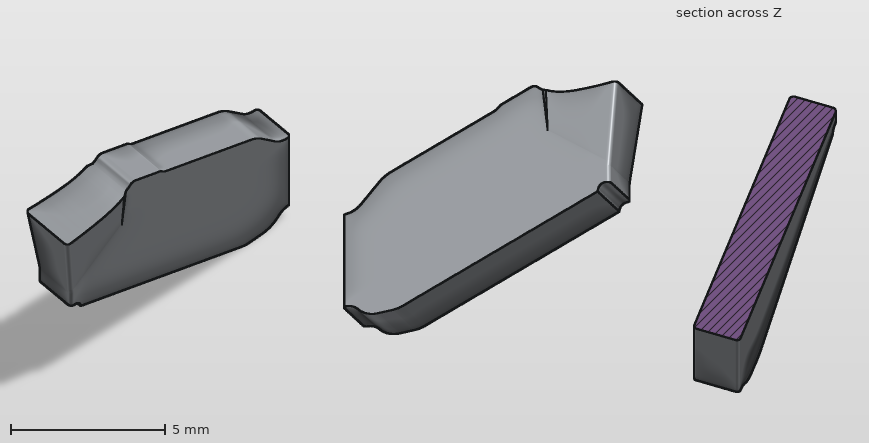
import cadquery as cq
import math


length = 10.0
height = 7.0
plate_width = 1.6
tip_width = 2.01
seat_angle = 20.0

edge_height = 6.4
clearance_angle = 7.0
front_setback = 0.355
front_corner_radius = 0.15

notch_top = 2.905
notch_start = 0.527
notch_radius = 0.25
notch_turn = 75.0
seat_front_y = 0.785
seat_front_z = 2.63

heel_radius = 1.0
tail_lip = 0.09
tail_bottom = 0.518
tail_bottom_hollow_radius = 0.6
tail_bottom_round_radius = 1.0
tail_top = 3.886
tail_top_hollow_radius = 0.8
tail_slope = 45.0
tail_slope_run = 0.662
tail_corner_radius = 0.12

shoulder_radius = 1.0
shoulder_slope = 31.6
shoulder_flat_run = 0.06

step_y = 4.548
step_slope = 49.0
step_hollow_radius = 0.5
step_round_radius = 0.2

crest_radius = 0.2
tip_slope = -2.0
rake_stations = [
    (1.476, 4.0),
    (1.90, 10.0),
    (2.02, 12.0),
    (2.08, 13.5),
    (2.29, 18.0),
    (2.59, 27.0),
    (2.77, 30.0),
    (2.95, 45.0),
]

flank_front = (0.527, 3.73)
flank_knee = (2.59, 5.28)
flank_top = (2.77, 6.79)
main_flank_spread = 0.0869
rear_flank_spread = 0.64
wedge_reach = 5.0


def tan_deg(angle):
    return math.tan(math.radians(angle))


def sin_deg(angle):
    return math.sin(math.radians(angle))


def cos_deg(angle):
    return math.cos(math.radians(angle))


class Outline:
    """Side outline in (y, z), extended by lines and by arcs given through their slopes in degrees.

    A run is a signed distance along Y; slopes are always those of z over y.
    """

    def __init__(self, y, z):
        self.y = y
        self.z = z
        self.wire = cq.Workplane("YZ").moveTo(y, z)

    def line_to(self, y, z):
        self.y = y
        self.z = z
        self.wire = self.wire.lineTo(y, z)

    def line(self, run, slope):
        self.line_to(self.y + run, self.z + run * tan_deg(slope))

    def arc(self, run, start_slope, end_slope):
        """Circular arc that covers the run while it turns from one slope to the other."""
        mean_slope = (start_slope + end_slope) / 2
        run_share = (sin_deg(mean_slope) - sin_deg(start_slope)) / (sin_deg(end_slope) - sin_deg(start_slope))
        middle_run = run * run_share
        middle_rise = middle_run * tan_deg((start_slope + mean_slope) / 2)
        middle = (self.y + middle_run, self.z + middle_rise)
        self.y += run
        self.z += run * tan_deg(mean_slope)
        self.wire = self.wire.threePointArc(middle, (self.y, self.z))

    def turn(self, radius, start_slope, end_slope, heading):
        """Circular arc of the given radius; heading is 1 towards +Y and -1 towards -Y."""
        run = radius * abs(sin_deg(end_slope) - sin_deg(start_slope))
        self.arc(heading * run, start_slope, end_slope)


def add_front_and_bottom(outline):
    """Front relief, notch, lower seat and rounded heel, from the cutting edge to the tail face."""
    outline.line_to(front_setback, edge_height - front_setback / tan_deg(clearance_angle))
    outline.line_to(front_setback, notch_top)
    outline.line_to(notch_start, notch_top)
    outline.turn(notch_radius, 0, -notch_turn, 1)
    outline.line_to(seat_front_y, seat_front_z)

    heel_drop = heel_radius * (1 - cos_deg(seat_angle))
    outline.line((seat_front_z - heel_drop) / tan_deg(seat_angle), -seat_angle)
    outline.turn(heel_radius, -seat_angle, 0, 1)

    curve_radii = tail_bottom_round_radius + tail_bottom_hollow_radius
    curve_slope = math.degrees(math.acos(1 - tail_bottom / curve_radii))
    outline.line_to(length - tail_lip - curve_radii * sin_deg(curve_slope), 0)
    outline.turn(tail_bottom_round_radius, 0, curve_slope, 1)
    outline.turn(tail_bottom_hollow_radius, curve_slope, 0, 1)
    outline.line_to(length, tail_bottom)


def add_tail_and_top_seat(outline):
    """Tail face, tail slope, shoulder and stepped upper seat, up to the top of the crest."""
    outline.line_to(length, tail_top)
    outline.line_to(length - tail_lip, tail_top)
    outline.turn(tail_top_hollow_radius, 0, -tail_slope, -1)
    outline.line(-tail_slope_run, -tail_slope)
    outline.turn(shoulder_radius, -tail_slope, -shoulder_slope, -1)
    outline.line(-shoulder_flat_run, -shoulder_slope)
    outline.turn(shoulder_radius, -shoulder_slope, -seat_angle, -1)

    outline.line(step_y - outline.y, -seat_angle)
    outline.turn(step_hollow_radius, -seat_angle, -step_slope, -1)
    outline.turn(step_round_radius, -step_slope, -seat_angle, -1)

    crest_start_z = height - crest_radius * (1 - cos_deg(seat_angle))
    outline.line((outline.z - crest_start_z) / tan_deg(seat_angle), -seat_angle)
    outline.turn(crest_radius, -seat_angle, 0, -1)


def rake_joints():
    """(y, z, slope) where the rake arcs meet, from the cutting edge to the top of the crest."""
    joints = [(0, edge_height, tip_slope)]
    for y, slope in rake_stations:
        last_y, last_z, last_slope = joints[-1]
        joints.append((y, last_z + (y - last_y) * tan_deg((slope + last_slope) / 2), slope))
    y, z, slope = joints[-1]
    joints.append((y + (height - z) / tan_deg(slope / 2), height, 0))
    return joints


def add_rake(outline):
    """Flat top of the crest, then the chain of tangent arcs down to the cutting edge."""
    joints = rake_joints()
    crest_y, crest_z, slope = joints.pop()
    outline.line_to(crest_y, crest_z)
    for y, _, next_slope in reversed(joints):
        outline.arc(y - outline.y, slope, next_slope)
        slope = next_slope


def side_slab(width):
    """The full side outline, extruded to the given width about x = 0."""
    outline = Outline(0, edge_height)
    add_front_and_bottom(outline)
    add_tail_and_top_seat(outline)
    add_rake(outline)
    return outline.wire.close().extrude(width / 2, both=True)


def plate():
    """Plain plate with its two upright tail edges rounded."""
    plan = (
        cq.Workplane("XY")
        .rect(plate_width, 2 * length)
        .extrude(height)
        .edges("|Z and >Y")
        .fillet(tail_corner_radius)
    )
    return side_slab(plate_width).intersect(plan)


def flank_wedge(start, end, spread):
    """Symmetric prism along a (y, z) line: as wide as the plate on the line, opening towards the front."""
    root = plate_width / 2
    rim = root + spread * wedge_reach
    middle = cq.Vector(0, (start[0] + end[0]) / 2, (start[1] + end[1]) / 2)
    direction = cq.Vector(0, end[0] - start[0], end[1] - start[1])
    section = cq.Plane(origin=middle, xDir=(1, 0, 0), normal=direction)
    return (
        cq.Workplane(section)
        .polyline([(-root, 0), (root, 0), (rim, wedge_reach), (-rim, wedge_reach)])
        .close()
        .extrude(wedge_reach, both=True)
    )


def flared_head():
    """Cutting head, widest at the cutting edge and narrowing to the plate on every side."""
    main_flanks = flank_wedge(flank_knee, flank_front, main_flank_spread)
    rear_flanks = flank_wedge(flank_top, flank_knee, rear_flank_spread)
    return side_slab(2 * tip_width).intersect(main_flanks).intersect(rear_flanks)


def round_front_corners(part):
    """Round the side edges of the relief face and of the upright front below it."""
    box_back = (front_setback + notch_start) / 2
    front_edges = cq.selectors.BoxSelector(
        (-tip_width, 0, notch_top),
        (tip_width, box_back, edge_height),
    )
    return part.edges(front_edges).edges("not |X").fillet(front_corner_radius)


result = round_front_corners(plate()).union(round_front_corners(flared_head()))